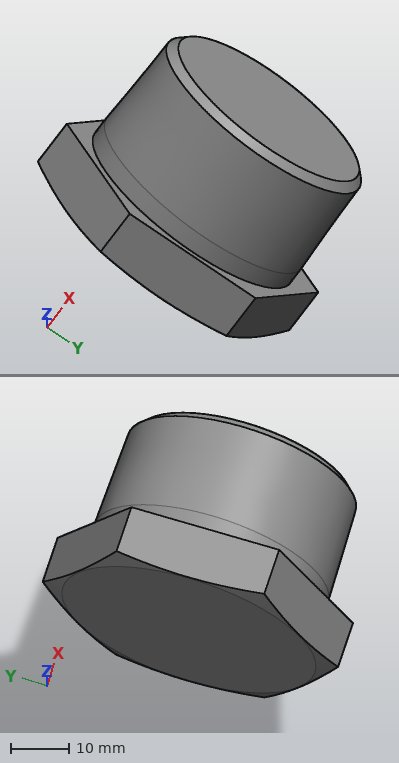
import cadquery as cq
import math

corner_width = 53.1
head_length = 9.55
bearing_circle_diameter = 45.7
head_chamfer_angle = 15.0

total_length = 32.0
collar_diameter = 42.3
collar_end = 12.95
tip_diameter = 41.2
tip_chamfer = 1.5


def hexagon_head():
    """Hexagonal prism along X, corners on the Y axis, outer corners turned off by a cone."""
    prism = cq.Workplane("YZ").polygon(6, corner_width).extrude(head_length)
    face_radius = bearing_circle_diameter / 2
    corner_radius = corner_width / 2
    chamfer_depth = (corner_radius - face_radius) * math.tan(math.radians(head_chamfer_angle))
    envelope = (
        cq.Workplane("XZ")
        .moveTo(0, 0)
        .lineTo(0, face_radius)
        .lineTo(chamfer_depth, corner_radius)
        .lineTo(head_length, corner_radius)
        .lineTo(head_length, 0)
        .close()
        .revolve(360, (0, 0, 0), (1, 0, 0))
    )
    return prism.intersect(envelope)


def tapered_plug():
    """Straight collar behind the head, then a slight taper to a chamfered tip."""
    tip_radius = tip_diameter / 2
    collar_radius = collar_diameter / 2
    chamfer_start = total_length - tip_chamfer
    return (
        cq.Workplane("XZ")
        .moveTo(head_length, 0)
        .lineTo(head_length, collar_radius)
        .lineTo(collar_end, collar_radius)
        .lineTo(chamfer_start, tip_radius)
        .lineTo(total_length, tip_radius - tip_chamfer)
        .lineTo(total_length, 0)
        .close()
        .revolve(360, (0, 0, 0), (1, 0, 0))
    )


result = hexagon_head().union(tapered_plug())